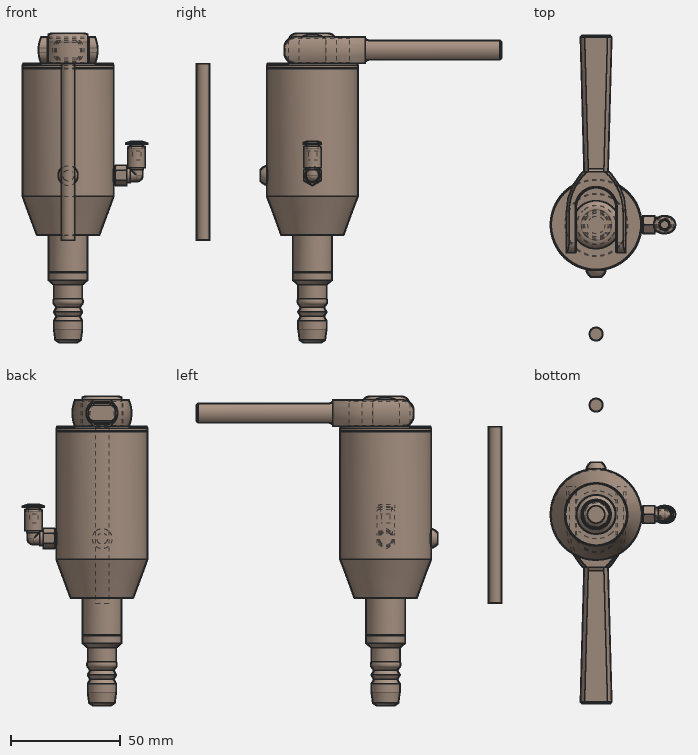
import cadquery as cq
import math

KNOB_TOP_Z = 141.0
HOUSING_TOP_Z = 127.3
HOUSING_RADIUS = 41.6 / 2
HOUSING_CHAMFER_WIDTH = 0.4
HOUSING_CHAMFER_HEIGHT = 1.0
CAP_GROOVE_Z = 124.8
GROOVE_WIDTH = 0.4
GROOVE_DEPTH = 0.1
CONE_TOP_Z = 66.7
CONE_BOTTOM_Z = 48.9
CONE_BOTTOM_RADIUS = 14.4
CONE_BOTTOM_CHAMFER = 0.4

KNOB_RADIUS = 21.9 / 2
KNOB_FILLET = 4.0
KNOB_FLAT_WIDTH = 18.0

STEM_RADIUS = 17.9 / 2
STEM_GROOVE_Z = 32.0
STEM_BOTTOM_Z = 28.6
SHANK_RADIUS = 13.1 / 2
SHANK_TOP_Z = 26.5
BULGE_TOP_Z = 20.0
BULGE_BOTTOM_Z = 17.8
BULGE_HEIGHT = 0.3
BARB_ROOT_RADIUS = 5.4
UPPER_ROOT_Z = 16.2
BARB_RIDGE_Z = 14.1
LOWER_ROOT_Z = 12.1
TIP_CYLINDER_TOP_Z = 10.0
TIP_TAPER_TOP_Z = 6.3
TIP_TAPER_RADIUS = 5.9
TIP_CHAMFER_Z = 1.4
TIP_RADIUS = 4.0

BUTTON_Z = 76.3
BUTTON_RADIUS = 4.5
BUTTON_TIP_RADIUS = 5.0 / 2
BUTTON_TIP_Y = -23.8
BUTTON_RIM_Y = -20.7
BUTTON_BULGE = 0.3

FITTING_Z = 76.3
HEX_ACROSS_FLATS = 8.0
HEX_START_X = 21.2
HEX_END_X = 26.8
HEX_CHAMFER_HEIGHT = 1.0
HEX_CHAMFER_LENGTH = 0.5
COLLAR_RADIUS = 6.6 / 2
COLLAR_END_X = 28.3
ELBOW_RADIUS = 5.8 / 2
ELBOW_X = 31.2
SLEEVE_STEP_RADIUS = 6.2 / 2
SLEEVE_STEP_Z = 79.0
SLEEVE_RADIUS = 8.0 / 2
SLEEVE_BOTTOM_Z = 79.7
SLEEVE_SHOULDER_Z = 88.5
SLEEVE_TOP_RADIUS = 7.6 / 2
SLEEVE_TOP_Z = 89.5
COLLET_RADIUS = 6.0 / 2
FLANGE_BOTTOM_Z = 90.5
FLANGE_RIM_Z = 91.0
FLANGE_TOP_Z = 91.8
FLANGE_HALF_LENGTH = 10.0 / 2
FLANGE_HALF_WIDTH = 4.1
PORT_RADIUS = 5.0 / 2
PORT_DEPTH = 4.2
BORE_RADIUS = 4.0 / 2
BORE_DEPTH = 8.5

LEVER_HEIGHT = 12.0
LEVER_MID_Z = HOUSING_TOP_Z + LEVER_HEIGHT / 2
HEAD_HALF_WIDTH = 13.5
HEAD_EDGE_HALF_WIDTH = 12.3
HEAD_CURVE_START_Y = 5.9
NECK_Y = 24.1
NECK_HALF_WIDTH = 5.9
FORK_SLOT_RADIUS = KNOB_FLAT_WIDTH / 2
FORK_SLOT_CENTER_Y = 7.8
FORK_EDGE_CHAMFER = 0.5
PRONG_END_Y = -12.8
PRONG_END_FILLET = 5.0
HANDLE_HEIGHT = 8.9
HANDLE_END_Y = 86.2
HANDLE_BASE_HALF_WIDTH = 5.5
HANDLE_END_HALF_WIDTH = 7.2
HANDLE_BULGE = 2.0
HANDLE_END_CHAMFER = 0.8
HANDLE_ROOT_LENGTH = 1.4
HANDLE_ROOT_RISE = 0.7

ROD_RADIUS = 6.0 / 2
ROD_Y = -49.8
ROD_BOTTOM_Z = 46.8
ROD_LENGTH = 80.4


def cylinder_z(radius, bottom_z, top_z, x=0.0, y=0.0):
    """Upright cylinder between two heights."""
    return cq.Workplane("XY", origin=(x, y, bottom_z)).circle(radius).extrude(top_z - bottom_z)


def cylinder_x(radius, start_x, end_x, z):
    """Cylinder lying along +X."""
    return cq.Workplane("YZ", origin=(start_x, 0, z)).circle(radius).extrude(end_x - start_x)



def housing_body():
    """Housing, cone, stem and barbed tip as one turned shape."""
    bulge_mid_z = (BULGE_TOP_Z + BULGE_BOTTOM_Z) / 2
    profile = (
        cq.Workplane("XZ")
        .moveTo(0, HOUSING_TOP_Z)
        .lineTo(HOUSING_RADIUS - HOUSING_CHAMFER_WIDTH, HOUSING_TOP_Z)
        .lineTo(HOUSING_RADIUS, HOUSING_TOP_Z - HOUSING_CHAMFER_HEIGHT)
        .lineTo(HOUSING_RADIUS, CONE_TOP_Z)
        .lineTo(CONE_BOTTOM_RADIUS, CONE_BOTTOM_Z + CONE_BOTTOM_CHAMFER)
        .lineTo(CONE_BOTTOM_RADIUS - CONE_BOTTOM_CHAMFER, CONE_BOTTOM_Z)
        .lineTo(STEM_RADIUS, CONE_BOTTOM_Z)
        .lineTo(STEM_RADIUS, STEM_BOTTOM_Z)
        .lineTo(SHANK_RADIUS, SHANK_TOP_Z)
        .lineTo(SHANK_RADIUS, BULGE_TOP_Z)
        .threePointArc((SHANK_RADIUS + BULGE_HEIGHT, bulge_mid_z), (SHANK_RADIUS, BULGE_BOTTOM_Z))
        .lineTo(BARB_ROOT_RADIUS, UPPER_ROOT_Z)
        .lineTo(SHANK_RADIUS, BARB_RIDGE_Z)
        .lineTo(BARB_ROOT_RADIUS, LOWER_ROOT_Z)
        .lineTo(SHANK_RADIUS, TIP_CYLINDER_TOP_Z)
        .lineTo(SHANK_RADIUS, TIP_TAPER_TOP_Z)
        .lineTo(TIP_TAPER_RADIUS, TIP_CHAMFER_Z)
        .lineTo(TIP_RADIUS, 0)
        .lineTo(0, 0)
        .close()
    )
    return profile.revolve(360, (0, 0, 0), (0, 1, 0))


def ring_groove(outer_radius, bottom_z):
    """Shallow ring to cut around a cylinder."""
    return (
        cq.Workplane("XY", origin=(0, 0, bottom_z))
        .circle(outer_radius + GROOVE_DEPTH)
        .circle(outer_radius - GROOVE_DEPTH)
        .extrude(GROOVE_WIDTH)
    )


def knob():
    """Rounded knob with a flat on each X side."""
    height = KNOB_TOP_Z - HOUSING_TOP_Z
    dome = cylinder_z(KNOB_RADIUS, HOUSING_TOP_Z, KNOB_TOP_Z).faces(">Z").edges().fillet(KNOB_FILLET)
    flats = (
        cq.Workplane("XY", origin=(0, 0, HOUSING_TOP_Z))
        .rect(KNOB_FLAT_WIDTH, 2 * KNOB_RADIUS)
        .extrude(height)
    )
    return dome.intersect(flats)


def button():
    """Domed side button, turned about an axis along Y."""
    return (
        cq.Workplane("XY", origin=(0, 0, BUTTON_Z))
        .moveTo(0, BUTTON_TIP_Y)
        .lineTo(BUTTON_TIP_RADIUS, BUTTON_TIP_Y)
        .sagittaArc((BUTTON_RADIUS, BUTTON_RIM_Y), -BUTTON_BULGE)
        .lineTo(BUTTON_RADIUS, 0)
        .lineTo(0, 0)
        .close()
        .revolve(360, (0, 0, 0), (0, 1, 0))
    )


def fitting_hex():
    """Hexagon nut along X with a corner up and its housing end chamfered."""
    across_corners = HEX_ACROSS_FLATS / math.cos(math.pi / 6)
    corner_radius = across_corners / 2
    nut = (
        cq.Workplane("YZ", origin=(0, 0, FITTING_Z))
        .transformed(rotate=(0, 0, 90))
        .polygon(6, across_corners)
        .extrude(HEX_END_X)
    )
    envelope = (
        cq.Workplane("XY", origin=(0, 0, FITTING_Z))
        .lineTo(0, corner_radius - HEX_CHAMFER_HEIGHT)
        .lineTo(HEX_START_X, corner_radius - HEX_CHAMFER_HEIGHT)
        .lineTo(HEX_START_X + HEX_CHAMFER_LENGTH, corner_radius)
        .lineTo(HEX_END_X, corner_radius)
        .lineTo(HEX_END_X, 0)
        .close()
        .revolve(360, (0, 0, 0), (1, 0, 0))
    )
    return nut.intersect(envelope)


def fitting_elbow():
    """Collar and elbow with a ball corner, turning from +X to +Z."""
    collar = cylinder_x(COLLAR_RADIUS, HEX_END_X, COLLAR_END_X, FITTING_Z)
    horizontal = cylinder_x(ELBOW_RADIUS, COLLAR_END_X, ELBOW_X, FITTING_Z)
    vertical = cylinder_z(ELBOW_RADIUS, FITTING_Z, SLEEVE_STEP_Z, ELBOW_X)
    corner = cq.Workplane("XY", origin=(ELBOW_X, 0, FITTING_Z)).sphere(ELBOW_RADIUS)
    return collar.union(horizontal).union(vertical).union(corner)


def fitting_sleeve():
    """Upright sleeve of the fitting up to the neck of its release collet."""
    return (
        cq.Workplane("XZ", origin=(ELBOW_X, 0, 0))
        .moveTo(0, SLEEVE_STEP_Z)
        .lineTo(SLEEVE_STEP_RADIUS, SLEEVE_STEP_Z)
        .lineTo(SLEEVE_STEP_RADIUS, SLEEVE_BOTTOM_Z)
        .lineTo(SLEEVE_RADIUS, SLEEVE_BOTTOM_Z)
        .lineTo(SLEEVE_RADIUS, SLEEVE_SHOULDER_Z)
        .lineTo(SLEEVE_TOP_RADIUS, SLEEVE_TOP_Z)
        .lineTo(COLLET_RADIUS, SLEEVE_TOP_Z)
        .lineTo(COLLET_RADIUS, FLANGE_BOTTOM_Z)
        .lineTo(0, FLANGE_BOTTOM_Z)
        .close()
        .revolve(360, (0, 0, 0), (0, 1, 0))
    )


def collet_flange():
    """Oval release flange with a shallow conical top."""
    cone = (
        cq.Workplane("XZ", origin=(ELBOW_X, 0, 0))
        .moveTo(0, FLANGE_BOTTOM_Z)
        .lineTo(FLANGE_HALF_LENGTH, FLANGE_BOTTOM_Z)
        .lineTo(FLANGE_HALF_LENGTH, FLANGE_RIM_Z)
        .lineTo(PORT_RADIUS, FLANGE_TOP_Z)
        .lineTo(0, FLANGE_TOP_Z)
        .close()
        .revolve(360, (0, 0, 0), (0, 1, 0))
    )
    oval = (
        cq.Workplane("XY", origin=(ELBOW_X, 0, FLANGE_BOTTOM_Z))
        .ellipse(FLANGE_HALF_LENGTH, FLANGE_HALF_WIDTH)
        .extrude(FLANGE_TOP_Z - FLANGE_BOTTOM_Z)
    )
    return cone.intersect(oval)


def hose_fitting():
    """Complete elbow fitting with its stepped hose port."""
    port = cylinder_z(PORT_RADIUS, FLANGE_TOP_Z - PORT_DEPTH, FLANGE_TOP_Z, ELBOW_X)
    bore = cylinder_z(BORE_RADIUS, FLANGE_TOP_Z - BORE_DEPTH, FLANGE_TOP_Z, ELBOW_X)
    solid = fitting_hex().union(fitting_elbow()).union(fitting_sleeve()).union(collet_flange())
    return solid.cut(port).cut(bore)


def make_valve():
    body = housing_body()
    body = body.cut(ring_groove(HOUSING_RADIUS, CAP_GROOVE_Z))
    body = body.cut(ring_groove(STEM_RADIUS, STEM_GROOVE_Z))
    return body.union(knob()).union(button()).union(hose_fitting())



def head_section(inner_x):
    """Cross-section of the +X half of the head at the start of its curve, bulging outward."""
    top_z = HOUSING_TOP_Z + LEVER_HEIGHT
    return (
        cq.Workplane("XZ", origin=(0, HEAD_CURVE_START_Y, 0))
        .moveTo(inner_x, HOUSING_TOP_Z)
        .lineTo(HEAD_EDGE_HALF_WIDTH, HOUSING_TOP_Z)
        .threePointArc((HEAD_HALF_WIDTH, LEVER_MID_Z), (HEAD_EDGE_HALF_WIDTH, top_z))
        .lineTo(inner_x, top_z)
        .close()
    )


def head_half():
    """+X half of the head: straight prong, then a side curving in to the neck."""
    prong = head_section(0).extrude(HEAD_CURVE_START_Y - PRONG_END_Y)
    curve_length = NECK_Y - HEAD_CURVE_START_Y
    narrowing = HEAD_HALF_WIDTH - NECK_HALF_WIDTH
    curve_radius = (narrowing**2 + curve_length**2) / (2 * narrowing)
    curve_center_x = HEAD_HALF_WIDTH - curve_radius
    curved = head_section(curve_center_x).revolve(90, (curve_center_x, 0, 0), (curve_center_x, 1, 0))
    limit = (
        cq.Workplane("XY", origin=(0, HEAD_CURVE_START_Y, HOUSING_TOP_Z))
        .rect(HEAD_HALF_WIDTH, curve_length, centered=False)
        .extrude(LEVER_HEIGHT)
    )
    return prong.union(curved.intersect(limit))


def fork_slot():
    """Round-ended slot that straddles the knob, open toward -Y."""
    return (
        cq.Workplane("XY", origin=(0, 0, HOUSING_TOP_Z))
        .moveTo(-FORK_SLOT_RADIUS, PRONG_END_Y)
        .lineTo(-FORK_SLOT_RADIUS, FORK_SLOT_CENTER_Y)
        .threePointArc(
            (0, FORK_SLOT_CENTER_Y + FORK_SLOT_RADIUS), (FORK_SLOT_RADIUS, FORK_SLOT_CENTER_Y)
        )
        .lineTo(FORK_SLOT_RADIUS, PRONG_END_Y)
        .close()
        .extrude(LEVER_HEIGHT)
    )


def prong_end_envelope():
    """Block whose -Y edges are rounded, seen along X."""
    return (
        cq.Workplane("XY", origin=(0, 0, HOUSING_TOP_Z))
        .moveTo(-HEAD_HALF_WIDTH, PRONG_END_Y)
        .lineTo(HEAD_HALF_WIDTH, PRONG_END_Y)
        .lineTo(HEAD_HALF_WIDTH, NECK_Y)
        .lineTo(-HEAD_HALF_WIDTH, NECK_Y)
        .close()
        .extrude(LEVER_HEIGHT)
        .faces("<Y")
        .edges("|X")
        .fillet(PRONG_END_FILLET)
    )


def handle_section(y, half_width):
    """Closed wire across the handle: flat top and bottom, arched sides."""
    flat = half_width - HANDLE_BULGE
    half_height = HANDLE_HEIGHT / 2
    return (
        cq.Workplane("XZ", origin=(0, y, LEVER_MID_Z))
        .moveTo(-flat, -half_height)
        .lineTo(flat, -half_height)
        .threePointArc((half_width, 0), (flat, half_height))
        .lineTo(-flat, half_height)
        .threePointArc((-half_width, 0), (-flat, -half_height))
        .close()
        .val()
    )


def handle_root_wedge():
    """Sloped strip where the flat top of the handle meets the head."""
    handle_top_z = LEVER_MID_Z + HANDLE_HEIGHT / 2
    half_width = HANDLE_BASE_HALF_WIDTH - HANDLE_BULGE
    return (
        cq.Workplane("YZ", origin=(-half_width, 0, 0))
        .moveTo(NECK_Y, LEVER_MID_Z)
        .lineTo(NECK_Y + HANDLE_ROOT_LENGTH, LEVER_MID_Z)
        .lineTo(NECK_Y + HANDLE_ROOT_LENGTH, handle_top_z)
        .lineTo(NECK_Y, handle_top_z + HANDLE_ROOT_RISE)
        .close()
        .extrude(2 * half_width)
    )


def handle():
    """Handle widening toward its chamfered free end, with a sloped root above and below."""
    base = handle_section(NECK_Y, HANDLE_BASE_HALF_WIDTH)
    end = handle_section(HANDLE_END_Y, HANDLE_END_HALF_WIDTH)
    grip = cq.Workplane(cq.Solid.makeLoft([base, end], True))
    grip = grip.faces(">Y").edges().chamfer(HANDLE_END_CHAMFER)
    wedge = handle_root_wedge()
    return grip.union(wedge).union(wedge.mirror("XY", (0, 0, LEVER_MID_Z)))


def make_lever():
    half = head_half()
    head = half.union(half.mirror("YZ")).cut(fork_slot())
    head = head.intersect(prong_end_envelope())
    slot_end = (0, FORK_SLOT_CENTER_Y + FORK_SLOT_RADIUS, HOUSING_TOP_Z + LEVER_HEIGHT)
    head = head.edges(cq.NearestToPointSelector(slot_end)).chamfer(FORK_EDGE_CHAMFER)
    return head.union(handle())



def make_rod():
    return cylinder_z(ROD_RADIUS, ROD_BOTTOM_Z, ROD_BOTTOM_Z + ROD_LENGTH, y=ROD_Y)


valve = make_valve()
lever = make_lever()
rod = make_rod()
result = cq.Compound.makeCompound([valve.val(), lever.val(), rod.val()])